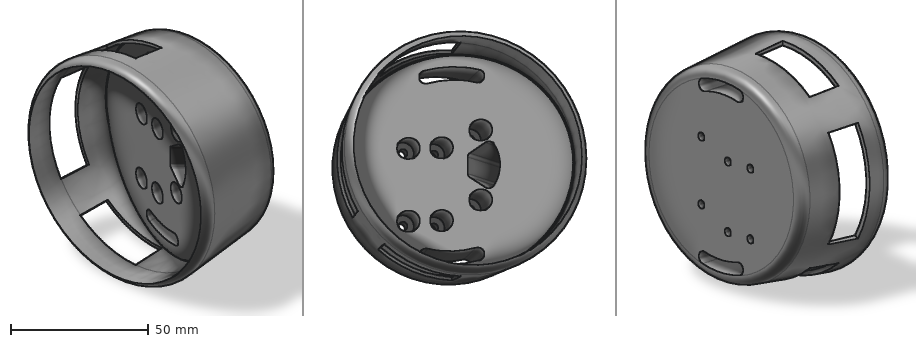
import cadquery as cq
import math

height = 42.95
outer_radius = 45.2
edge_round = 4.5
wall_taper = math.degrees(math.atan(0.11))
rim_arc_y = 4.1

mouth_radius = 42.7
straight_depth = 11.0
bore_end_y = 38.6
bore_end_radius = 40.6

floor_center_y = 25.3
floor_slope = 1 / 3
floor_gap = 0.5
groove_depth = 0.45

window_start_y = 11.0
window_end_y = 25.0
window_spans = [(90, 130), (150, 210), (230, 270)]

screw_diameter = 3.2
counterbore_diameter = 8.0
counterbore_end_y = bore_end_y
mount_x = [-15.0, -3.5]
mount_center_z = -6.9
mount_spacing_z = 27.1
side_mount_x = 10.0
side_mount_spacing_z = 26.0
screw_points = [(x, mount_center_z + side * mount_spacing_z / 2) for x in mount_x for side in (-1, 1)]
screw_points += [(side_mount_x, side * side_mount_spacing_z / 2) for side in (-1, 1)]

slot_radius = 34.4
slot_width = 4.9
slot_half_angle = 15

passage_x = 5.5
passage_angle = 42
passage_flat_half = 4.0
passage_corner = (7.1, 9.6)
passage_depth = 10.3
passage_flat_round = 1.8
passage_corner_round = 1.8
passage_front_reach = 10.85
passage_back_reach = 28.0


def turned(profile):
    """Turn an XY profile about the Y axis."""
    return profile.close().revolve(360, (0, 0, 0), (0, 1, 0))


def along_y(start_y):
    """Workplane with local (x, y) = (X, Z); a negative extrusion runs towards +Y."""
    return cq.Workplane("XZ", origin=(0, start_y, 0))


def polar(radius, angle):
    turn = math.radians(angle)
    return radius * math.cos(turn), radius * math.sin(turn)


def arc_point(center, angle):
    x, y = polar(edge_round, angle)
    return center[0] + x, center[1] + y


def outer_body():
    rim_center = (outer_radius - edge_round, rim_arc_y)
    back_arc_y = height - edge_round
    taper_drop = (back_arc_y - rim_arc_y) * math.tan(math.radians(wall_taper))
    back_center = (rim_center[0] - taper_drop, back_arc_y)
    rim_start_angle = -math.degrees(math.asin(rim_arc_y / edge_round))
    profile = (
        cq.Workplane("XY")
        .lineTo(*arc_point(rim_center, rim_start_angle))
        .threePointArc(arc_point(rim_center, 0), arc_point(rim_center, wall_taper))
        .lineTo(*arc_point(back_center, wall_taper))
        .threePointArc(arc_point(back_center, 45), arc_point(back_center, 90))
        .lineTo(0, height)
    )
    return turned(profile)


def cavity(inset=0.0):
    profile = (
        cq.Workplane("XY")
        .lineTo(mouth_radius - inset, 0)
        .lineTo(mouth_radius - inset, straight_depth)
        .lineTo(bore_end_radius - inset, bore_end_y)
        .lineTo(0, bore_end_y)
    )
    return turned(profile)


def floor_block(inset, center_y):
    """Back of the cavity filled up to a tilted plane, kept clear of the wall by inset."""
    rise = outer_radius * floor_slope
    behind_floor = (
        cq.Workplane("XY")
        .moveTo(-outer_radius, center_y + rise)
        .lineTo(outer_radius, center_y - rise)
        .lineTo(outer_radius, height)
        .lineTo(-outer_radius, height)
        .close()
        .extrude(outer_radius, both=True)
    )
    return cavity(inset).intersect(behind_floor)


def window(start_angle, end_angle):
    inner = bore_end_radius - floor_gap
    outer = outer_radius
    middle = (start_angle + end_angle) / 2
    return (
        along_y(window_start_y)
        .moveTo(*polar(inner, start_angle))
        .lineTo(*polar(outer, start_angle))
        .threePointArc(polar(outer, middle), polar(outer, end_angle))
        .lineTo(*polar(inner, end_angle))
        .threePointArc(polar(inner, middle), polar(inner, start_angle))
        .close()
        .extrude(window_start_y - window_end_y)
    )


def screw_holes():
    bores = along_y(0).pushPoints(screw_points).circle(screw_diameter / 2).extrude(-height)
    counterbores = (
        along_y(0).pushPoints(screw_points).circle(counterbore_diameter / 2).extrude(-counterbore_end_y)
    )
    return bores.union(counterbores)


def curved_slot(middle_angle):
    inner = slot_radius - slot_width / 2
    outer = slot_radius + slot_width / 2
    start = middle_angle - slot_half_angle
    end = middle_angle + slot_half_angle
    band = (
        along_y(0)
        .moveTo(*polar(inner, start))
        .lineTo(*polar(outer, start))
        .threePointArc(polar(outer, middle_angle), polar(outer, end))
        .lineTo(*polar(inner, end))
        .threePointArc(polar(inner, middle_angle), polar(inner, start))
        .close()
        .extrude(-height)
    )
    end_points = [polar(slot_radius, start), polar(slot_radius, end)]
    ends = along_y(0).pushPoints(end_points).circle(slot_width / 2).extrude(-height)
    return band.union(ends)


def cable_passage():
    """Blind prism sunk obliquely through the floor towards +X and +Y."""
    direction_x, direction_y = polar(1, passage_angle)
    floor_y = floor_center_y - passage_x * floor_slope
    start = (passage_x - passage_front_reach * direction_x, floor_y - passage_front_reach * direction_y, 0)
    plane = cq.Plane(
        origin=start,
        xDir=(direction_y, -direction_x, 0),
        normal=(direction_x, direction_y, 0),
    )
    corner_x, corner_half = passage_corner
    section = (
        cq.Sketch()
        .segment((0, passage_flat_half), (0, -passage_flat_half))
        .segment((corner_x, -corner_half))
        .arc((corner_x, -corner_half), (passage_depth, 0), (corner_x, corner_half))
        .segment((corner_x, corner_half), (0, passage_flat_half))
        .assemble()
        .vertices("<X")
        .fillet(passage_flat_round)
        .reset()
        .vertices(">Y or <Y")
        .fillet(passage_corner_round)
    )
    length = passage_front_reach + passage_back_reach
    return cq.Workplane(plane).placeSketch(section).extrude(length)


raised_floor = floor_block(floor_gap, floor_center_y)
groove_bottom = floor_block(0, floor_center_y + groove_depth)
result = outer_body().cut(cavity()).union(groove_bottom).union(raised_floor)
for span in window_spans:
    result = result.cut(window(*span).cut(raised_floor))
result = result.cut(screw_holes())
for slot_angle in (90, 270):
    result = result.cut(curved_slot(slot_angle))
result = result.cut(cable_passage())